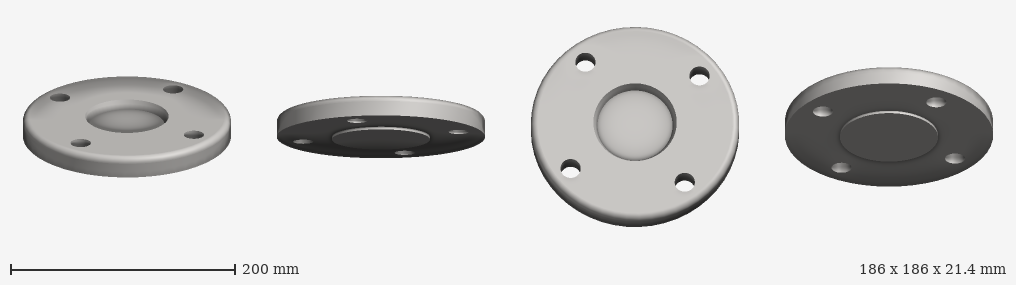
import cadquery as cq

disc_diameter = 186
total_height = 21.4
face_height = 2.5
disc_thickness = total_height - face_height
rim_radius = 5.8

face_diameter = 87.5

recess_top_diameter = 74.4
recess_floor_diameter = 67
recess_depth = 8.0

bolt_hole_diameter = 18.0
bolt_circle_diameter = 145
bolt_count = 4


def make_disc():
    disc = cq.Workplane("XY").circle(disc_diameter / 2).extrude(disc_thickness)
    return disc.faces(">Z").edges().fillet(rim_radius)


def make_raised_face():
    return cq.Workplane("XY").circle(face_diameter / 2).extrude(-face_height)


def make_recess():
    return (
        cq.Workplane("XY", origin=(0, 0, disc_thickness - recess_depth))
        .circle(recess_floor_diameter / 2)
        .workplane(offset=recess_depth)
        .circle(recess_top_diameter / 2)
        .loft()
    )


def make_bolt_holes():
    return (
        cq.Workplane("XY")
        .polarArray(bolt_circle_diameter / 2, 0, 360, bolt_count)
        .circle(bolt_hole_diameter / 2)
        .extrude(disc_thickness)
    )


result = make_disc().union(make_raised_face()).cut(make_recess()).cut(make_bolt_holes())